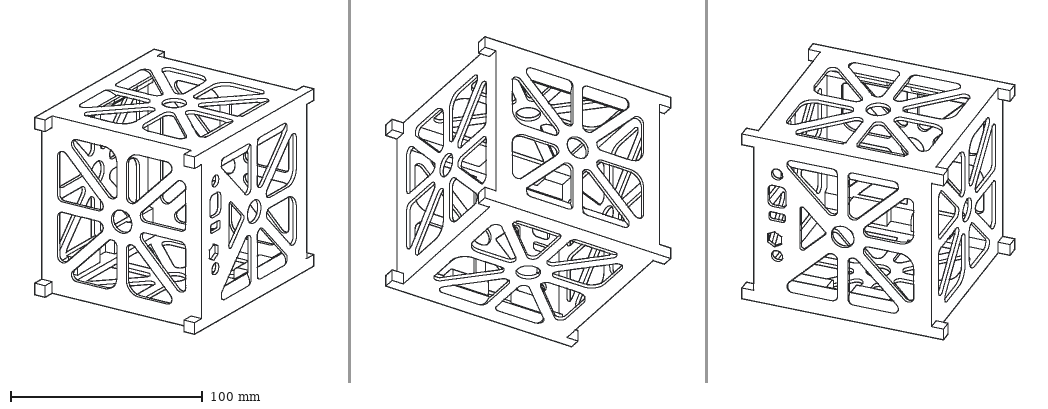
import cadquery as cq
import math


cube = 100.0
length = 113.5
foot = 6.6
wall = 2.0

border = 10.0
spoke = 5.9
hub_hole = 12.7
window_fillet = 3.2
large_fillet = 8.0

rail_leg = 14.4
rail_fillet = 3.2
long_reach = 14.6
short_reach = 10.9
block_round = 3.0
block_length = 21.6
block_middles = (13.6, -21.7)
sill_angle = 24.0

port_window_end = 24.1
port_window_tip = 9.0
small_fillet = 1.5
port_y = -36.9
round_port = 6.4
round_port_heights = (29.7, -19.7)
square_port_width = 10.2
square_port_height = 12.7
square_port_z = 16.2
square_port_fillet = 3.0
flat_port_width = 9.1
flat_port_height = 5.0
flat_port_z = 3.9
hex_port_flats = 8.0
hex_port_y = -38.4
hex_port_z = -9.9

half = cube / 2
inner = half - wall
opening = half - border
rail_edge = half - rail_leg
rail_web = wall + rail_fillet
web_face = half - rail_web


def window(square_fillet):
    """Cutter for the window between the +Y spoke and the (+X, +Y) diagonal spoke."""
    side = spoke / 2
    diagonal = spoke / math.sqrt(2)
    hub_corner = (side, side + diagonal)
    far_corner = (opening - diagonal, opening)
    square_corner = (side, opening)
    cutter = cq.Workplane("XY").polyline([hub_corner, far_corner, square_corner]).close().extrude(half)
    for corner, radius in (
        (hub_corner, window_fillet),
        (far_corner, window_fillet),
        (square_corner, square_fillet),
    ):
        edge = cq.selectors.NearestToPointSelector((*corner, half / 2))
        cutter = cutter.edges("|Z").edges(edge).fillet(radius)
    return cutter


def panel_cutter(sectors):
    """Cutter for the +Z panel; sectors 0 to 3 are the window pairs at +Y, -X, -Y and +X."""
    cutter = cq.Workplane("XY").circle(hub_hole / 2).extrude(half)
    for sector in sectors:
        one = window(large_fillet if sector % 2 == 0 else window_fillet)
        pair = one.union(one.mirror("YZ"))
        cutter = cutter.union(pair.rotate((0, 0, 0), (0, 0, 1), 90 * sector))
    return cutter


def cut_panels(body):
    """Open the windows of all six panels, leaving the -Y windows of the +X panel closed."""
    all_sectors = (0, 1, 2, 3)
    x_axis = (1, 0, 0)
    y_axis = (0, 1, 0)
    for axis, angle, sectors in (
        (x_axis, 0, all_sectors),
        (x_axis, 180, all_sectors),
        (x_axis, 90, all_sectors),
        (x_axis, -90, all_sectors),
        (y_axis, -90, all_sectors),
        (y_axis, 90, (0, 1, 3)),
    ):
        body = body.cut(panel_cutter(sectors).rotate((0, 0, 0), axis, angle))
    return body


def full_rail(x_reach, z_reach):
    """Rail drawn in the (+X, +Z) corner: an L with fillets to the panels, and two solid blocks."""
    fillet_end = rail_edge - rail_fillet
    sag = rail_fillet * (1 - math.sqrt(0.5))
    rail = (
        cq.Workplane("XZ")
        .moveTo(half, half)
        .lineTo(half, fillet_end)
        .lineTo(inner, fillet_end)
        .threePointArc((inner - sag, rail_edge - sag), (web_face, rail_edge))
        .lineTo(web_face, web_face)
        .lineTo(rail_edge, web_face)
        .threePointArc((rail_edge - sag, inner - sag), (fillet_end, inner))
        .lineTo(fillet_end, half)
        .close()
        .extrude(inner, both=True)
    )
    block = cq.Workplane("XY").box(x_reach, block_length, z_reach)
    block = block.edges("|Y and <X and <Z").fillet(block_round)
    for block_y in block_middles:
        rail = rail.union(block.translate((half - x_reach / 2, block_y, half - z_reach / 2)))
    return rail


def sloped_rail(rail):
    """Part of the rail that stays in the windows: it slopes inward from their outer edges."""
    drop = border * math.tan(math.radians(sill_angle))
    wedge = (
        cq.Workplane("XZ")
        .polyline([(opening, half), (opening - border, half), (opening - border, half - drop)])
        .close()
        .extrude(half, both=True)
    )
    return rail.cut(wedge).cut(wedge.rotate((0, 0, 0), (1, 0, 1), 180))


def at_corner(body, x_side, z_side):
    """Mirror a body of the (+X, +Z) corner into the chosen corner."""
    if x_side < 0:
        body = body.mirror("YZ")
    if z_side < 0:
        body = body.mirror("XY")
    return body


def port_plane(y, z):
    """Sketch plane on the inside of the +X panel, centred on a port."""
    return cq.Workplane("YZ", origin=(web_face, y, z))


def port_cutters():
    """Triangular window and ports that pass through the closed part of the +X panel."""
    rise = port_window_end - port_window_tip
    points = [(-port_window_tip, 0), (-port_window_end, rise), (-port_window_end, -rise)]
    triangle = port_plane(0, 0).polyline(points).close().extrude(rail_web)
    square = port_plane(port_y, square_port_z).rect(square_port_width, square_port_height).extrude(rail_web)
    flat = port_plane(port_y, flat_port_z).rect(flat_port_width, flat_port_height).extrude(rail_web)
    hexagon = port_plane(hex_port_y, hex_port_z).polygon(6, hex_port_flats, circumscribed=True)
    rounds = [port_plane(port_y, z).circle(round_port / 2).extrude(rail_web) for z in round_port_heights]
    return rounds + [
        triangle.edges("|X").fillet(small_fillet),
        square.edges("|X").fillet(square_port_fillet),
        flat.edges("|X").fillet(small_fillet),
        hexagon.extrude(rail_web),
    ]


corners = [(x_side, z_side) for x_side in (-1, 1) for z_side in (-1, 1)]
cavity = cq.Workplane("XY").box(2 * inner, 2 * inner, 2 * inner)
frame = cq.Workplane("XY").box(cube, cube, cube).cut(cavity)

standing_rails = []
for x_side, z_side in corners:
    x_reach = long_reach if x_side > 0 else short_reach
    z_reach = long_reach if z_side < 0 else short_reach
    rail = full_rail(x_reach, z_reach)
    frame = frame.union(at_corner(rail, x_side, z_side))
    standing_rails.append(at_corner(sloped_rail(rail), x_side, z_side))

frame = cut_panels(frame)
for standing_rail in standing_rails:
    frame = frame.union(standing_rail)
for cutter in port_cutters():
    frame = frame.cut(cutter)

foot_length = (length - cube) / 2
foot_place = half - foot / 2
foot_block = cq.Workplane("XY").box(foot, foot_length, foot)
for end in (-1, 1):
    foot_body = foot_block.translate((foot_place, end * (half + foot_length / 2), foot_place))
    for x_side, z_side in corners:
        frame = frame.union(at_corner(foot_body, x_side, z_side))

result = frame